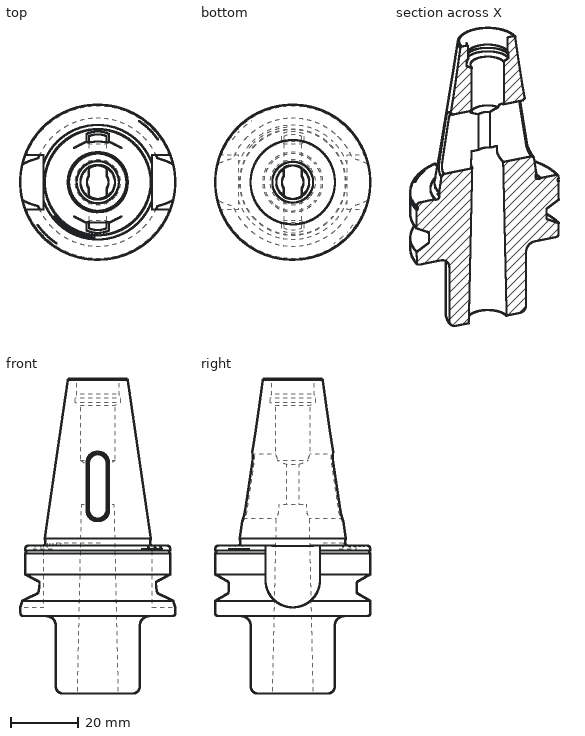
import cadquery as cq
import math

TOTAL_HEIGHT = 93.4
FLANGE_BOTTOM = 23.0
FLANGE_TOP = 44.0
GAUGE_HEIGHT = 45.95

NOSE_RADIUS = 12.5
FLANGE_DIAMETER = 46.0
FLANGE_RADIUS = FLANGE_DIAMETER / 2
GAUGE_RADIUS = 15.8
TAPER_RATIO = 7 / 24
TIP_RADIUS = GAUGE_RADIUS - (TOTAL_HEIGHT - GAUGE_HEIGHT) * TAPER_RATIO / 2

NOSE_BOTTOM_FILLET = 2.2
NOSE_ROOT_FILLET = 2.7
FLANGE_BOTTOM_FILLET = 0.9
FLANGE_TOP_FILLET = 1.1
TIP_CHAMFER = 0.4

V_GROOVE_MID = 31.5
V_GROOVE_OPENING = 7.8
V_GROOVE_RADIUS = 19.1
V_GROOVE_SLOPE = math.radians(30)
V_GROOVE_FILLET = 0.5
V_HALF_OPENING = V_GROOVE_OPENING / 2
V_HALF_FLOOR = V_HALF_OPENING - (FLANGE_RADIUS - V_GROOVE_RADIUS) * math.tan(V_GROOVE_SLOPE)

RING_GROOVE_MID = 42.0
RING_GROOVE_WIDTH = 0.8
RING_GROOVE_DEPTH = 0.4

NECK_RADIUS = 15.6
NECK_BEVEL_BOTTOM = 45.3
NECK_BEVEL_FILLET = 0.9
RECESS_RADIUS = 17.0
RECESS_DEPTH = 0.2
RECESS_FLOOR = FLANGE_TOP - RECESS_DEPTH
NECK_FILLET = 0.8

DRIVE_SLOT_WIDTH = 16.2
DRIVE_SLOT_BOTTOM = 25.6
DRIVE_SLOT_FACE = 16.2

EJECTOR_WIDTH = 5.2
EJECTOR_LENGTH = 19.15
EJECTOR_MID = 61.5
EJECTOR_CHAMFER = 0.75

MOUTH_FILLET = 0.75
PILOT_RADIUS = 6.3
PILOT_BOTTOM = 88.9
RELIEF_RADIUS = 6.7
RELIEF_TOP = 87.6
RELIEF_BOTTOM = 86.4
DRAW_BORE_RADIUS = 5.1
DRAW_BORE_BOTTOM = 69.1
DRILL_SLOPE = math.radians(30)

SOCKET_MOUTH_RADIUS = 6.1
SOCKET_END_RADIUS = 4.9
SOCKET_DEPTH = 56.0
LINK_HOLE_RADIUS = 3.2


def revolve_profile(profile):
    """Turn a closed (radius, height) outline about the Z axis."""
    return profile.close().revolve(360, (0, 0, 0), (0, 1, 0))


def rings_at(height):
    """Select the circular edges centred on the axis at one height."""
    reach = 0.05
    return cq.selectors.BoxSelector((-reach, -reach, height - reach), (reach, reach, height + reach))


def turned_body():
    """Outside of the adapter with its rounded and bevelled rings."""
    ring_top = RING_GROOVE_MID + RING_GROOVE_WIDTH / 2
    ring_bottom = RING_GROOVE_MID - RING_GROOVE_WIDTH / 2
    profile = (
        cq.Workplane("XZ")
        .moveTo(0, 0)
        .lineTo(NOSE_RADIUS, 0)
        .lineTo(NOSE_RADIUS, FLANGE_BOTTOM)
        .lineTo(FLANGE_RADIUS, FLANGE_BOTTOM)
        .lineTo(FLANGE_RADIUS, V_GROOVE_MID - V_HALF_OPENING)
        .lineTo(V_GROOVE_RADIUS, V_GROOVE_MID - V_HALF_FLOOR)
        .lineTo(V_GROOVE_RADIUS, V_GROOVE_MID + V_HALF_FLOOR)
        .lineTo(FLANGE_RADIUS, V_GROOVE_MID + V_HALF_OPENING)
        .lineTo(FLANGE_RADIUS, ring_bottom)
        .threePointArc((FLANGE_RADIUS - RING_GROOVE_DEPTH, RING_GROOVE_MID), (FLANGE_RADIUS, ring_top))
        .lineTo(FLANGE_RADIUS, FLANGE_TOP)
        .lineTo(RECESS_RADIUS, FLANGE_TOP)
        .lineTo(RECESS_RADIUS, RECESS_FLOOR)
        .lineTo(NECK_RADIUS, RECESS_FLOOR)
        .lineTo(NECK_RADIUS, NECK_BEVEL_BOTTOM)
        .lineTo(GAUGE_RADIUS, GAUGE_HEIGHT)
        .lineTo(TIP_RADIUS, TOTAL_HEIGHT)
        .lineTo(0, TOTAL_HEIGHT)
    )
    body = revolve_profile(profile)
    inner_ring = cq.selectors.RadiusNthSelector(0)
    outer_ring = cq.selectors.RadiusNthSelector(-1)

    body = body.edges(rings_at(0)).fillet(NOSE_BOTTOM_FILLET)
    body = body.edges(rings_at(FLANGE_BOTTOM)).edges(inner_ring).fillet(NOSE_ROOT_FILLET)
    body = body.edges(rings_at(FLANGE_BOTTOM)).edges(outer_ring).fillet(FLANGE_BOTTOM_FILLET)
    body = body.edges(rings_at(FLANGE_TOP)).edges(outer_ring).fillet(FLANGE_TOP_FILLET)
    for height in (V_GROOVE_MID - V_HALF_FLOOR, V_GROOVE_MID + V_HALF_FLOOR):
        body = body.edges(rings_at(height)).fillet(V_GROOVE_FILLET)
    body = body.edges(rings_at(RECESS_FLOOR)).edges(inner_ring).fillet(NECK_FILLET)
    body = body.edges(rings_at(NECK_BEVEL_BOTTOM)).fillet(NECK_BEVEL_FILLET)
    return body.edges(rings_at(TOTAL_HEIGHT)).chamfer(TIP_CHAMFER)


def ejector_slot():
    """Round-ended slot that passes through the taper along Y."""
    return (
        cq.Workplane("XZ", origin=(0, 0, EJECTOR_MID))
        .slot2D(EJECTOR_LENGTH, EJECTOR_WIDTH, 90)
        .extrude(FLANGE_RADIUS, both=True)
    )


def cut_ejector_slot(body):
    """Cut the slot and chamfer its rim on both sides of the taper."""
    body = body.cut(ejector_slot())
    for side in (-1, 1):
        rim = cq.selectors.BoxSelector(
            (-EJECTOR_WIDTH, side * TIP_RADIUS, EJECTOR_MID - EJECTOR_LENGTH),
            (EJECTOR_WIDTH, side * FLANGE_RADIUS, EJECTOR_MID + EJECTOR_LENGTH),
        )
        body = body.edges(rim).chamfer(EJECTOR_CHAMFER)
    return body


def drive_slot(side):
    """Round-bottomed cutter, open upwards, with its flat face towards the axis."""
    half_width = DRIVE_SLOT_WIDTH / 2
    round_centre = DRIVE_SLOT_BOTTOM + half_width
    return (
        cq.Workplane("YZ", origin=(side * DRIVE_SLOT_FACE, 0, 0))
        .moveTo(-half_width, TOTAL_HEIGHT)
        .lineTo(-half_width, round_centre)
        .threePointArc((0, DRIVE_SLOT_BOTTOM), (half_width, round_centre))
        .lineTo(half_width, TOTAL_HEIGHT)
        .close()
        .extrude(side * FLANGE_RADIUS)
    )


def axial_bore():
    """Draw-bar bore, link hole and Morse socket as one turned cutter."""
    mouth_radius = PILOT_RADIUS + MOUTH_FILLET
    mouth_bottom = TOTAL_HEIGHT - MOUTH_FILLET
    mouth_arc_middle = (
        mouth_radius - MOUTH_FILLET * math.cos(math.pi / 4),
        mouth_bottom + MOUTH_FILLET * math.sin(math.pi / 4),
    )
    relief_cone_bottom = RELIEF_BOTTOM - (RELIEF_RADIUS - DRAW_BORE_RADIUS) * math.tan(DRILL_SLOPE)
    link_hole_top = DRAW_BORE_BOTTOM - (DRAW_BORE_RADIUS - LINK_HOLE_RADIUS) * math.tan(DRILL_SLOPE)
    profile = (
        cq.Workplane("XZ")
        .moveTo(0, 0)
        .lineTo(SOCKET_MOUTH_RADIUS, 0)
        .lineTo(SOCKET_END_RADIUS, SOCKET_DEPTH)
        .lineTo(LINK_HOLE_RADIUS, SOCKET_DEPTH)
        .lineTo(LINK_HOLE_RADIUS, link_hole_top)
        .lineTo(DRAW_BORE_RADIUS, DRAW_BORE_BOTTOM)
        .lineTo(DRAW_BORE_RADIUS, relief_cone_bottom)
        .lineTo(RELIEF_RADIUS, RELIEF_BOTTOM)
        .lineTo(RELIEF_RADIUS, RELIEF_TOP)
        .lineTo(PILOT_RADIUS, PILOT_BOTTOM)
        .lineTo(PILOT_RADIUS, mouth_bottom)
        .threePointArc(mouth_arc_middle, (mouth_radius, TOTAL_HEIGHT))
        .lineTo(0, TOTAL_HEIGHT)
    )
    return revolve_profile(profile)


adapter = cut_ejector_slot(turned_body())
for side in (-1, 1):
    adapter = adapter.cut(drive_slot(side))
result = adapter.cut(axial_bore())